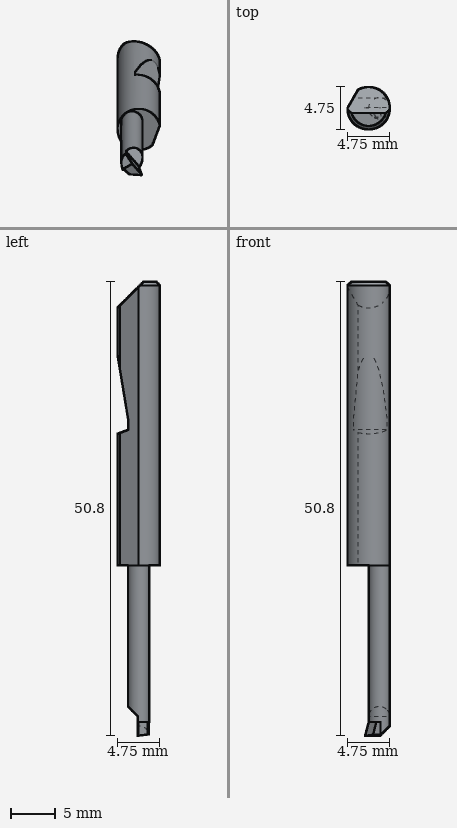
import cadquery as cq
import math

total_length = 50.8
shank_diameter = 4.75
shank_radius = shank_diameter / 2
shank_bottom = 19.05
top_chamfer = 0.4
neck_radius = shank_radius / 2
neck_center_x = shank_radius - neck_radius

flat_start_angle = 120
flat_end_angle = 180

bevel_front_y = -0.55

notch_bottom = 33.8
notch_corner = 34.25
notch_taper_start = 35.3
notch_top = 42.65
notch_floor_y = 1.15

head_back_y = 0.1
head_ramp_bottom = 2.2
tooth_height = 1.5
tooth_front_y = -0.95
tooth_right_y = -1.05
tooth_right_x = 1.3
tip_x = -0.4
flank_x = 0.45
tooth_lean = 0.4
bottom_relief = 0.15
nose_chamfer = 1.1


def side_prism(points):
    """Extrude a (Y, Z) outline across the full shank width."""
    return cq.Workplane("YZ").polyline(points).close().extrude(shank_radius, both=True)


def circle_point(angle):
    turn = math.radians(angle)
    return (shank_radius * math.cos(turn), shank_radius * math.sin(turn))


def make_shank():
    shank = (
        cq.Workplane("XY", origin=(0, 0, shank_bottom))
        .circle(shank_radius)
        .extrude(total_length - shank_bottom)
        .faces(">Z")
        .chamfer(top_chamfer)
    )
    flat_start = circle_point(flat_start_angle)
    flat_end = circle_point(flat_end_angle)
    flat_middle = circle_point((flat_start_angle + flat_end_angle) / 2)
    side_segment = (
        cq.Workplane("XY", origin=(0, 0, shank_bottom))
        .moveTo(*flat_start)
        .threePointArc(flat_middle, flat_end)
        .close()
        .extrude(total_length - shank_bottom)
    )
    bevel = side_prism([
        (bevel_front_y, total_length),
        (shank_radius, total_length),
        (shank_radius, total_length - (shank_radius - bevel_front_y)),
    ])
    notch = side_prism([
        (shank_radius, notch_bottom),
        (notch_floor_y, notch_corner),
        (notch_floor_y, notch_taper_start),
        (shank_radius, notch_top),
    ])
    return shank.cut(side_segment).cut(bevel).cut(notch)


def make_neck():
    neck = cq.Workplane("XY").center(neck_center_x, 0).circle(neck_radius).extrude(shank_bottom)
    ramp_top = head_ramp_bottom + neck_radius - head_back_y
    back_relief = side_prism([
        (head_back_y, 0),
        (head_back_y, head_ramp_bottom),
        (neck_radius, ramp_top),
        (neck_radius, 0),
    ])
    tooth_seat = (
        cq.Workplane("XY")
        .rect(2 * tooth_right_x, shank_diameter)
        .extrude(tooth_height)
    )
    return neck.cut(back_relief).cut(tooth_seat)


def tooth_outline(edge_x, corner_x):
    """Horizontal section of the tooth, from its cutting edge round to the neck."""
    return [
        (edge_x, head_back_y),
        (edge_x, 0),
        (corner_x, tooth_front_y),
        (tooth_right_x, tooth_right_y),
        (tooth_right_x, head_back_y),
    ]


def make_tooth():
    return (
        cq.Workplane("XY")
        .polyline(tooth_outline(tip_x, flank_x))
        .close()
        .workplane(offset=tooth_height)
        .polyline(tooth_outline(tip_x + tooth_lean, flank_x + tooth_lean))
        .close()
        .loft(ruled=True)
    )


def make_head_relief():
    """Material removed below the cutting edge and from the outer lower corner."""
    clearance = side_prism([(0, 0), (-neck_radius, 0), (-neck_radius, bottom_relief)])
    nose = (
        cq.Workplane("XZ")
        .moveTo(shank_radius - nose_chamfer, 0)
        .lineTo(shank_radius, 0)
        .lineTo(shank_radius, nose_chamfer)
        .close()
        .extrude(neck_radius, both=True)
    )
    return clearance.union(nose)


lower_part = make_neck().union(make_tooth()).cut(make_head_relief())
result = make_shank().union(lower_part)